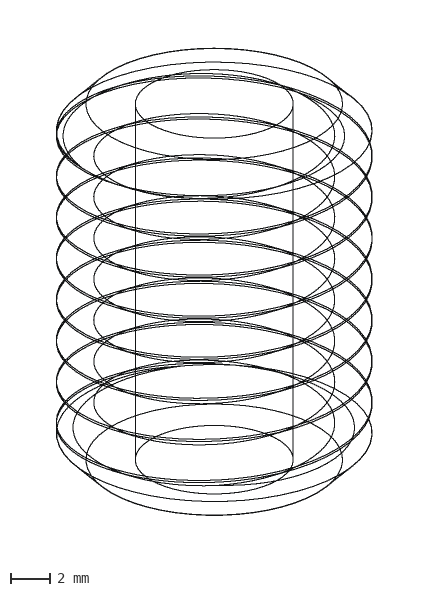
import cadquery as cq
import math

length = 20.0
outer_diameter = 16.0
bore_diameter = 8.0
bevel = 1.5

turns_per_gauge_length = 11
gauge_length = 25.4
pitch = gauge_length / turns_per_gauge_length
flank_angle = math.radians(30)
crest_flat = 0.12
groove_start_z = 1.6
cutter_overlap = 0.05
rod_overrun = 6.0

outer_radius = outer_diameter / 2
groove_depth = (pitch - crest_flat) / 2 / math.tan(flank_angle)
root_radius = outer_radius - groove_depth


def make_groove_cutter():
    """Triangular section swept along a helix that overruns both collars."""
    start_z = groove_start_z - pitch
    turns = math.ceil((length - bevel - start_z) / pitch) + 1
    mouth_radius = outer_radius + cutter_overlap
    half_mouth = (mouth_radius - root_radius) * math.tan(flank_angle)
    helix = cq.Wire.makeHelix(pitch, turns * pitch, root_radius, center=cq.Vector(0, 0, start_z))
    section = cq.Workplane("XZ").polyline([
        (root_radius, start_z),
        (mouth_radius, start_z - half_mouth),
        (mouth_radius, start_z + half_mouth),
    ]).close()
    return section.sweep(cq.Workplane(obj=helix), isFrenet=True)


def make_threaded_body():
    """Overlong threaded rod, trimmed square at the inner faces of the collars."""
    rod_length = length + 2 * rod_overrun
    rod = cq.Workplane("XY").workplane(offset=-rod_overrun).circle(outer_radius).extrude(rod_length)
    threaded_length = length - 2 * bevel
    trim_block = (
        cq.Workplane("XY").workplane(offset=bevel)
        .rect(2 * outer_diameter, 2 * outer_diameter).extrude(threaded_length)
    )
    return rod.cut(make_groove_cutter()).intersect(trim_block)


def make_collar(end_z, inner_z):
    """Conical collar, full diameter at inner_z and bevelled at 45 degrees to end_z."""
    profile = cq.Workplane("XZ").polyline([
        (0, end_z),
        (outer_radius - bevel, end_z),
        (outer_radius, inner_z),
        (0, inner_z),
    ]).close()
    return profile.revolve(360, (0, 0, 0), (0, 1, 0))


bore = cq.Workplane("XY").circle(bore_diameter / 2).extrude(length)

result = (
    make_threaded_body()
    .union(make_collar(0, bevel))
    .union(make_collar(length, length - bevel))
    .cut(bore)
)